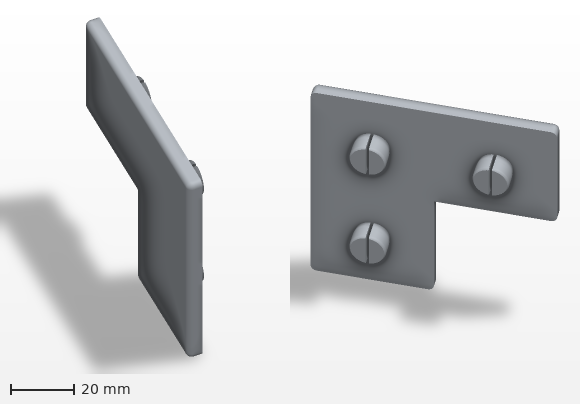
import cadquery as cq

side = 80.0
arm_width = side / 2
total_depth = 12.0
plate_thickness = 5.0
edge_radius = 2.0

peg_length = total_depth - plate_thickness
head_radius = 6.0
head_length = 4.0
tip_length = 1.0
tip_inset = 0.5
neck_inset = 0.2
slit_width = 1.0

near_line = arm_width / 2
far_line = side - arm_width / 2
peg_centres = [
    (near_line, far_line),
    (far_line, far_line),
    (far_line, near_line),
]


def make_plate():
    """L plate with rounded outer corners and a rounded front rim."""
    outline = [
        (0, arm_width),
        (arm_width, arm_width),
        (arm_width, 0),
        (side, 0),
        (side, side),
        (0, side),
    ]
    plate = cq.Workplane("XZ").polyline(outline).close().extrude(-plate_thickness)

    inner_corner = cq.selectors.NearestToPointSelector((arm_width, plate_thickness / 2, arm_width))
    outer_corners = cq.selectors.SubtractSelector(cq.selectors.StringSyntaxSelector("|Y"), inner_corner)
    plate = plate.edges(outer_corners).fillet(edge_radius)
    return plate.faces("<Y").edges().fillet(edge_radius)


def make_peg():
    """Peg on the Y axis, seated on the plate's back face and split across X."""
    head_start = total_depth - head_length
    tip_start = total_depth - tip_length
    neck_length = peg_length - head_length
    neck_curve = (neck_length**2 + neck_inset**2) / (2 * neck_inset)
    body = (
        cq.Workplane("XY")
        .moveTo(0, plate_thickness)
        .lineTo(head_radius - neck_inset, plate_thickness)
        .radiusArc((head_radius, head_start), -neck_curve)
        .lineTo(head_radius, tip_start)
        .tangentArcPoint((head_radius - tip_inset, total_depth), relative=False)
        .lineTo(0, total_depth)
        .close()
        .revolve(360, (0, 0, 0), (0, 1, 0))
    )
    slit = (
        cq.Workplane("XZ", origin=(0, plate_thickness, 0))
        .rect(slit_width, 2 * head_radius)
        .extrude(-peg_length)
    )
    return body.cut(slit)


result = make_plate()
peg = make_peg()
for x, z in peg_centres:
    result = result.union(peg.translate((x, 0, z)))